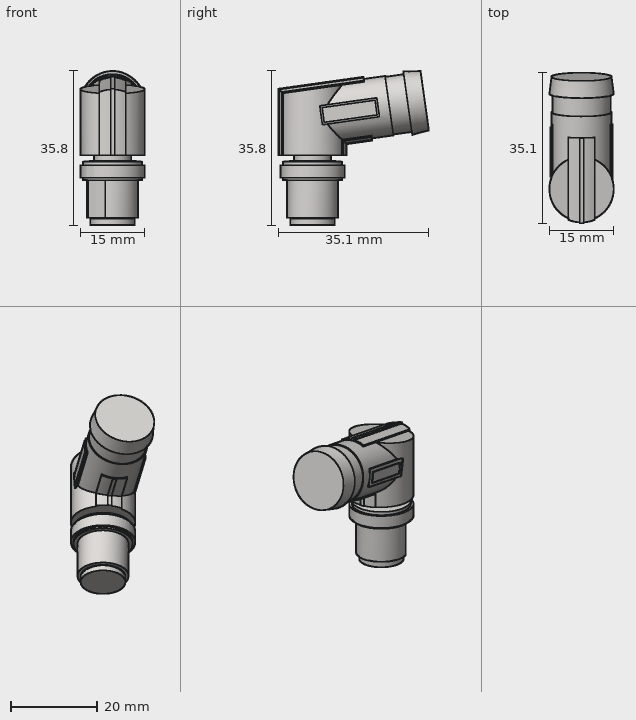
import cadquery as cq
import math


tip_radius = 10.4 / 2
tip_top = 1.5
groove_radius = 4.95
barrel_bottom = 1.7
barrel_radius = 11.9 / 2
collar_bottom = 10.45
collar_radius = 13.8 / 2
nut_bottom = 10.95
nut_radius = 7.5
nut_top = 13.95
collar_top = 14.75
cone_top = 15.0
neck_radius = 8.7 / 2

flat_direction = 225.0
nut_flat_distance = 7.4
barrel_ridge_distance = 5.33
barrel_ridge_lean = 1.5

body_bottom = 16.2
body_radius = 7.5

tilt = 8.0
tube_axis_height = 25.25
tube_radius = 7.0
tube_length = 18.0
spigot_radius = 13.6 / 2
lip_start = 22.35
lip_radius = 7.5
lip_end_radius = tube_radius
tube_end = 26.35

rib_half_width = 3.07
rib_height = 0.3
ridge_half_width = 0.47
ridge_height = 0.5
rib_end = 13.0

pad_center = 8.7
pad_length = 13.4
pad_width = 4.45
pad_corner_radius = 0.3
panel_outer_x = 7.25
pad_base_x = 7.0
small_panel_length = 11.2
small_panel_width = 2.65
large_panel_length = 12.4
large_panel_width = 3.45

reach = 40.0

tilt_angle = math.radians(tilt)
tube_direction = (0, math.cos(tilt_angle), math.sin(tilt_angle))
upright_plane = cq.Plane(origin=(0, 0, 0), xDir=(-1, 0, 0), normal=(0, 0, 1))
tube_plane = cq.Plane(origin=(0, 0, tube_axis_height), xDir=(-1, 0, 0), normal=tube_direction)


def cylinder(plane, radius, start, end):
    """Round bar along the plane's normal between two positions."""
    return cq.Workplane(plane).workplane(offset=start).circle(radius).extrude(end - start)


def cut_flat(solid, radius, distance, direction):
    """Cut away everything beyond a vertical plane at a distance from the Z axis."""
    cutter = cq.Workplane("XY").box(radius, reach, reach).translate((distance + radius / 2, 0, 0))
    return solid.cut(cutter.rotate((0, 0, 0), (0, 0, 1), direction))


def make_barrel():
    barrel = cylinder(cq.Plane.XY(), barrel_radius, barrel_bottom, collar_bottom)
    distance = barrel_ridge_distance * math.cos(math.radians(barrel_ridge_lean))
    for lean in (-barrel_ridge_lean, barrel_ridge_lean):
        barrel = cut_flat(barrel, barrel_radius, distance, flat_direction + lean)
    return barrel


def make_stack():
    core_profile = [
        (0, 0),
        (tip_radius, 0),
        (tip_radius, tip_top),
        (groove_radius, tip_top),
        (groove_radius, collar_bottom),
        (collar_radius, collar_bottom),
        (collar_radius, collar_top),
        (neck_radius, cone_top),
        (neck_radius, body_bottom),
        (0, body_bottom),
    ]
    core = cq.Workplane("XZ").polyline(core_profile).close().revolve(360, (0, 0), (0, 1))
    nut = cylinder(cq.Plane.XY(), nut_radius, nut_bottom, nut_top)
    nut = cut_flat(nut, nut_radius, nut_flat_distance, flat_direction)
    return core.union(nut).union(make_barrel())


def make_body():
    """Upright cylinder, cut off parallel to the tube axis at the foot of the rib."""
    body = cylinder(upright_plane, body_radius, body_bottom, reach)
    top_height = math.sqrt(tube_radius**2 - rib_half_width**2)
    below_top = (
        cq.Workplane(tube_plane)
        .center(0, top_height - reach / 2)
        .rect(reach, reach)
        .extrude(reach / 2, both=True)
    )
    return body.intersect(below_top)


def make_tube():
    profile = [
        (0, 0),
        (tube_radius, 0),
        (tube_radius, tube_length),
        (spigot_radius, tube_length),
        (spigot_radius, lip_start),
        (lip_radius, lip_start),
        (lip_end_radius, tube_end),
        (0, tube_end),
    ]
    side_plane = cq.Plane(origin=tube_plane.origin, xDir=(1, 0, 0), normal=tube_plane.yDir)
    return cq.Workplane(side_plane).polyline(profile).close().revolve(360, (0, 0), (0, 1))


def rib_half(plane, base_radius, depth, start, end):
    """Rib and ridge on the outer side of a bar, continued inwards to local Y = -depth."""
    radius = base_radius + rib_height
    ridge_top = base_radius + ridge_height
    side_y = math.sqrt(radius**2 - rib_half_width**2)
    rib = (
        cq.Workplane(plane)
        .workplane(offset=start)
        .moveTo(-rib_half_width, -depth)
        .lineTo(-rib_half_width, side_y)
        .threePointArc((0, radius), (rib_half_width, side_y))
        .lineTo(rib_half_width, -depth)
        .close()
        .extrude(end - start)
    )
    ridge = (
        cq.Workplane(plane)
        .workplane(offset=start)
        .center(0, (ridge_top - depth) / 2)
        .rect(2 * ridge_half_width, ridge_top + depth)
        .extrude(end - start)
    )
    return rib.union(ridge)


def rib_inner_leg(plane, base_radius, start, end):
    """Rib and ridge on the inner side of the bend."""
    leg = rib_half(plane, base_radius, 0, start, end)
    return leg.rotate(plane.origin.toTuple(), (plane.origin + plane.zDir).toTuple(), 180)


def make_outer_rib():
    """Both outer legs, mitred where the surface of one meets the other."""
    upright = rib_half(upright_plane, body_radius, reach, body_bottom, reach)
    tilted = rib_half(tube_plane, tube_radius, reach, -reach, rib_end)
    bend = (
        cq.Workplane("YZ")
        .moveTo(0, tube_axis_height)
        .lineTo(reach * math.cos(tilt_angle), tube_axis_height + reach * math.sin(tilt_angle))
        .lineTo(reach * math.cos(tilt_angle), 0)
        .lineTo(0, 0)
        .close()
        .extrude(2 * rib_half_width, both=True)
    )
    return upright.intersect(tilted).cut(bend)


def make_ribs():
    upright_leg = rib_inner_leg(upright_plane, body_radius, body_bottom, tube_axis_height)
    tilted_leg = rib_inner_leg(tube_plane, tube_radius, 0, rib_end)
    return make_outer_rib().union(upright_leg).union(tilted_leg)


def pad_block(length, width, side, outer_x):
    """Rectangular block from the tube axis plane out to X = side * outer_x."""
    center = (side * outer_x / 2, pad_center, 0)
    return cq.Workplane("XY").box(outer_x, length, width).translate(center)


def place_on_tube(solid):
    """Move a solid modelled along +Y onto the tilted tube axis."""
    return solid.rotate((0, 0, 0), (1, 0, 0), tilt).translate((0, 0, tube_axis_height))


def make_pads():
    """Pad on each side with a raised panel; the panel on the +X side is the larger one."""
    pads = pad_block(small_panel_length, small_panel_width, -1, panel_outer_x)
    pads = pads.union(pad_block(large_panel_length, large_panel_width, 1, panel_outer_x))
    for side in (-1, 1):
        base = pad_block(pad_length, pad_width, side, pad_base_x)
        pads = pads.union(base.edges("|X").fillet(pad_corner_radius))
    return place_on_tube(pads)


def make_pad_recess(side):
    """Space outside the pad base, so that the body does not cover the end of the pad."""
    recess = pad_block(pad_length, pad_width, side, reach).edges("|X").fillet(pad_corner_radius)
    clearance = pad_block(reach, reach, side, pad_base_x)
    return place_on_tube(recess.cut(clearance))


body = make_body().cut(make_pad_recess(-1)).cut(make_pad_recess(1))
result = make_stack().union(body).union(make_tube()).union(make_ribs()).union(make_pads())